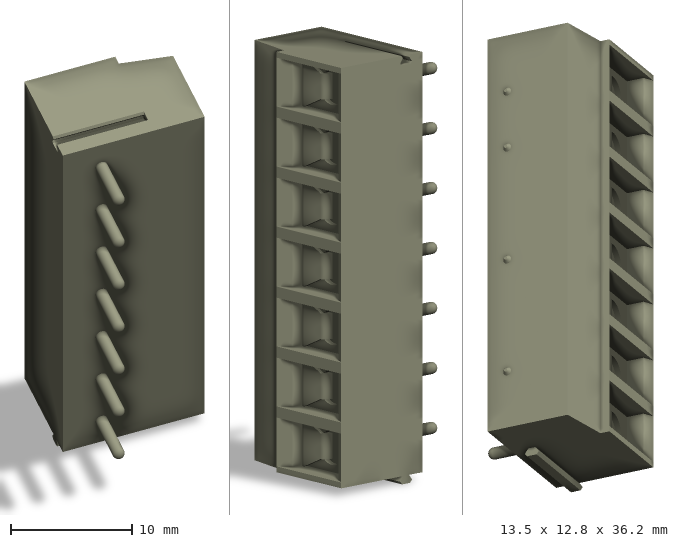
import cadquery as cq

pole_count = 7
pitch = 5.08
body_height = 35.55
end_margin = (body_height - (pole_count - 1) * pitch) / 2
pole_heights = [-(end_margin + i * pitch) for i in range(pole_count)]

total_height = 36.25
body_depth = 9.0
body_width = 12.5
shelf_width = 8.0
shoulder_x = 0.85
back_x = 1.6

cell_height = 4.15
floor_x = 2.0
front_flare_x = 0.47
front_flare_y = 0.87
back_flare_x = 0.87
back_flare_y = 0.98
wall_back_y = shelf_width - back_flare_y

strip_rise = 0.33
recess_depth = 0.5
bend_radius = 0.55
tongue_height = 2.18
tongue_front_y = 3.88

pin_y = 3.4
hole_diameter = 2.9
pin_radius = 0.5
pin_length = 4.5

rail_x = 7.18
rail_height = total_height - body_height
rail_neck = 0.33
rail_crest = 0.65
rail_crest_drop = 0.45
rail_tip = 0.45

groove_mouth = 0.5
groove_neck = 0.35
groove_neck_drop = 0.2
groove_crest = 0.65
groove_crest_drop = 0.6
groove_floor = 0.5
groove_depth = 0.8

nub_poles = (0, 1, 3, 5)
nub_height = 0.3
nub_base_radius = 0.35
nub_tip_radius = 0.15


def upright_prism(points, height, z_mid):
    """Extrude an XY outline along Z, centred on z_mid."""
    base = cq.Workplane("XY", origin=(0, 0, z_mid))
    return base.polyline(points).close().extrude(height / 2, both=True)


def make_housing():
    outline = [
        (0, 0),
        (body_depth, 0),
        (body_depth, body_width),
        (back_x, body_width),
        (shoulder_x, shelf_width),
        (0, shelf_width),
    ]
    return upright_prism(outline, body_height, -body_height / 2)


def make_cell_cavity(z):
    """Flared pocket with a deeper slot along its back wall and a wire hole in the floor."""
    slot_x = floor_x + recess_depth
    slot_y = wall_back_y - bend_radius
    outline = [
        (0, 0),
        (front_flare_x, front_flare_y),
        (floor_x, front_flare_y),
        (floor_x, slot_y),
        (slot_x, slot_y),
        (slot_x, wall_back_y),
        (back_flare_x, wall_back_y),
        (0, shelf_width),
    ]
    hole_plane = cq.Workplane("YZ", origin=(floor_x, pin_y, z))
    hole = hole_plane.circle(hole_diameter / 2).extrude(recess_depth)
    return upright_prism(outline, cell_height, z).union(hole)


def make_contact_strip(z):
    """Tapered strip bent into the slot at its wide end and into the hole at its tongue."""
    half_wide = cell_height / 2
    half_tongue = tongue_height / 2
    taper_start_y = wall_back_y - bend_radius
    taper_end_y = tongue_front_y + bend_radius
    outline = [
        (tongue_front_y, -half_tongue),
        (taper_end_y, -half_tongue),
        (taper_start_y, -half_wide),
        (wall_back_y, -half_wide),
        (wall_back_y, half_wide),
        (taper_start_y, half_wide),
        (taper_end_y, half_tongue),
        (tongue_front_y, half_tongue),
    ]
    plane = cq.Workplane("YZ", origin=(floor_x - strip_rise, 0, z))
    strip = plane.polyline(outline).close().extrude(strip_rise + recess_depth)
    return strip.faces("<X").edges("<Y or >Y").fillet(bend_radius)


def make_solder_pin(z):
    """Round pin with a hemispherical tip."""
    shank_length = pin_length - pin_radius
    shank = cq.Workplane("YZ", origin=(body_depth, pin_y, z)).circle(pin_radius).extrude(shank_length)
    tip = cq.Workplane("XY", origin=(body_depth + shank_length, pin_y, z)).sphere(pin_radius)
    return shank.union(tip)


def make_dovetail(half_profile, z_top):
    """Prism along Y from (half width, drop) pairs, mirrored about the rail centre."""
    right = [(half_width, -drop) for half_width, drop in half_profile]
    left = [(-half_width, -drop) for half_width, drop in reversed(half_profile)]
    plane = cq.Workplane("XZ", origin=(rail_x, 0, z_top))
    return plane.polyline(right + left).close().extrude(-shelf_width)


def make_nub(z):
    base_center = cq.Vector(rail_x, body_width, z)
    outward = cq.Vector(0, 1, 0)
    cone = cq.Solid.makeCone(nub_base_radius, nub_tip_radius, nub_height, base_center, outward)
    return cq.Workplane(cone)


groove = make_dovetail(
    [
        (groove_mouth, 0),
        (groove_neck, groove_neck_drop),
        (groove_crest, groove_crest_drop),
        (groove_floor, groove_depth),
    ],
    0,
)
rail = make_dovetail(
    [
        (rail_neck, 0),
        (rail_crest, rail_crest_drop),
        (rail_tip, rail_height),
    ],
    -body_height,
)

result = make_housing().cut(groove).union(rail)
for pole_z in pole_heights:
    result = result.cut(make_cell_cavity(pole_z))
    result = result.union(make_contact_strip(pole_z))
    result = result.union(make_solder_pin(pole_z))
for pole in nub_poles:
    result = result.union(make_nub(pole_heights[pole] - pitch / 2))